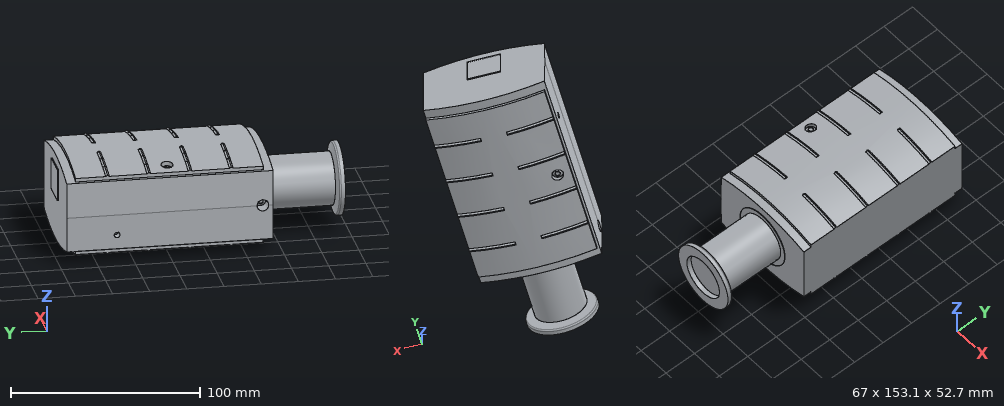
import cadquery as cq
import math


body_width = 67.0
body_length = 111.0
body_half_height = 24.0
crown_radius = 119.4
side_draft_deg = 1.0
half_width = body_width / 2
crown_center_z = body_half_height - crown_radius

plate_thickness = 1.85
plate_end_margin = 5.0
plate_left_x = -31.9
plate_radius = crown_radius + plate_thickness
plate_center_x = (plate_left_x + half_width) / 2

overall_height = 52.72
rib_rows = 4
rib_pitch = body_length / (rib_rows + 1)
rib_width = 2.0
rib_gap = 14.3
rib_shoulder_share = 0.62
rib_length = (half_width - plate_left_x - rib_gap) / 2
rib_inner_x = plate_center_x - rib_gap / 2
rib_radius = math.hypot(rib_inner_x, overall_height / 2 - crown_center_z)

overall_length = 153.1
badge_thickness = 0.6
pipe_radius = 14.5
pipe_length = overall_length - body_length - badge_thickness
flange_radius = 20.0
flange_rim_thickness = 3.0
flange_cone_deg = 15.0
flange_edge_fillet = 0.9
bore_radius = 13.1
bore_depth = 3.0

recess_radius = 18.0
recess_depth = 0.3

badge_width = 18.3
badge_height = 17.4
badge_center_z = 9.6

screw_diameter = 6.2
screw_head_height = 2.0
socket_corner_diameter = 3.0
socket_depth = 1.0
plate_screw_x = -24.7
plate_screw_y = body_length / 2
plate_pocket_depth = 2.8
side_screw_y = 5.5
side_pocket_depth = 8.0

side_hole_diameter = 3.0
side_hole_depth = 5.0
side_hole_y = body_length - 27.1
side_hole_z = -11.4


def crown_z(x, radius):
    """Height above mid plane, at x, of an arc concentric with the housing crown."""
    return crown_center_z + math.sqrt(radius ** 2 - x ** 2)


def extrude_along_y(sketch, start, length):
    """Extrude an outline drawn in X and Z from Y = start toward +Y."""
    return sketch.extrude(-length).translate((0, start, 0))


def mirror_to_bottom(shape):
    """The shape together with its reflection below mid height."""
    return shape.union(shape.mirror("XY"))


def make_body():
    """Half housing above mid height, with its reflection below."""
    left_top_x = -half_width + crown_z(half_width, crown_radius) * math.tan(math.radians(side_draft_deg))
    outline = (
        cq.Workplane("XZ")
        .moveTo(-half_width, 0)
        .lineTo(left_top_x, crown_z(left_top_x, crown_radius))
        .threePointArc((0, body_half_height), (half_width, crown_z(half_width, crown_radius)))
        .lineTo(half_width, 0)
        .close()
    )
    return mirror_to_bottom(extrude_along_y(outline, 0, body_length))


def make_plate():
    """Top cover plate, its underside following the housing crown."""
    outline = (
        cq.Workplane("XZ")
        .moveTo(plate_left_x, crown_z(plate_left_x, crown_radius))
        .lineTo(plate_left_x, crown_z(plate_left_x, plate_radius))
        .threePointArc((0, crown_z(0, plate_radius)), (half_width, crown_z(half_width, plate_radius)))
        .lineTo(half_width, crown_z(half_width, crown_radius))
        .threePointArc((0, body_half_height), (plate_left_x, crown_z(plate_left_x, crown_radius)))
        .close()
    )
    return extrude_along_y(outline, plate_end_margin, body_length - 2 * plate_end_margin)


def make_rib_ring():
    """Full ring about the crown centre with the pointed-arch rib section, centred on Y = 0."""
    half_rib = rib_width / 2
    shoulder_radius = plate_radius + rib_shoulder_share * (rib_radius - plate_radius)
    shoulder_offset = half_rib / 2
    return (
        cq.Workplane("XY")
        .moveTo(crown_radius, -half_rib)
        .lineTo(plate_radius, -half_rib)
        .threePointArc((shoulder_radius, -shoulder_offset), (rib_radius, 0))
        .threePointArc((shoulder_radius, shoulder_offset), (plate_radius, half_rib))
        .lineTo(crown_radius, half_rib)
        .close()
        .revolve(360, (0, 0, 0), (0, 1, 0))
        .translate((0, 0, crown_center_z))
    )


def make_ribs():
    """Two columns of ribs on the top plate, cut from the full ring."""
    ring = make_rib_ring()
    column_offset = (rib_gap + rib_length) / 2
    windows = (
        cq.Workplane("XY")
        .pushPoints([(plate_center_x - column_offset, 0), (plate_center_x + column_offset, 0)])
        .rect(rib_length, 2 * rib_width)
        .extrude(overall_height)
    )
    row = ring.intersect(windows)
    ribs = cq.Workplane("XY")
    for index in range(1, rib_rows + 1):
        ribs = ribs.add(row.translate((0, index * rib_pitch, 0)))
    return ribs.combine()


def make_pipe():
    """Pipe and conical-backed flange, with a shallow bore in the flange face."""
    face_y = -pipe_length
    rim_back_y = face_y + flange_rim_thickness
    cone_end_y = rim_back_y + (flange_radius - pipe_radius) * math.tan(math.radians(flange_cone_deg))
    pipe = (
        cq.Workplane("XY")
        .moveTo(0, face_y)
        .lineTo(flange_radius, face_y)
        .lineTo(flange_radius, rim_back_y)
        .lineTo(pipe_radius, cone_end_y)
        .lineTo(pipe_radius, recess_depth)
        .lineTo(0, recess_depth)
        .close()
        .revolve(360, (0, 0, 0), (0, 1, 0))
        .edges(cq.selectors.BoxSelector(
            (-2 * flange_radius, rim_back_y - flange_edge_fillet, -2 * flange_radius),
            (2 * flange_radius, rim_back_y + flange_edge_fillet, 2 * flange_radius),
        ))
        .edges("%CIRCLE")
        .fillet(flange_edge_fillet)
    )
    bore = extrude_along_y(cq.Workplane("XZ").circle(bore_radius), face_y, bore_depth)
    return pipe.cut(bore)


def cut_recess(part):
    """Sink a round recess into the front face of the housing."""
    return part.cut(extrude_along_y(cq.Workplane("XZ").circle(recess_radius), 0, recess_depth))


def make_badge():
    """Thin raised rectangle on the back face."""
    outline = cq.Workplane("XZ").center(0, badge_center_z).rect(badge_width, badge_height)
    return extrude_along_y(outline, body_length, badge_thickness)


def make_screw_head():
    """Domed head with a hexagonal socket, seated at Z = 0 and facing +Z."""
    radius = screw_diameter / 2
    sphere_radius = (radius ** 2 + screw_head_height ** 2) / (2 * screw_head_height)
    dome_center_z = screw_head_height - sphere_radius
    mid_angle = math.atan2(radius, -dome_center_z) / 2
    head = (
        cq.Workplane("XZ")
        .lineTo(radius, 0)
        .threePointArc(
            (sphere_radius * math.sin(mid_angle), dome_center_z + sphere_radius * math.cos(mid_angle)),
            (0, screw_head_height),
        )
        .close()
        .revolve(360, (0, 0, 0), (0, 1, 0))
    )
    socket = (
        cq.Workplane("XY")
        .workplane(offset=screw_head_height - socket_depth)
        .polygon(6, socket_corner_diameter)
        .extrude(screw_head_height)
    )
    return head.cut(socket)


def make_screw_pocket(depth):
    """Volume to remove for a sunk screw: a round pocket, floor at Z = 0, less the screw head."""
    return cq.Workplane("XY").circle(screw_diameter / 2).extrude(depth).cut(make_screw_head())


def cut_plate_screws(part):
    """Sink one screw in each cover plate."""
    floor_z = crown_z(plate_screw_x, plate_radius) - plate_pocket_depth
    pocket = make_screw_pocket(2 * plate_pocket_depth).translate((plate_screw_x, plate_screw_y, floor_z))
    return part.cut(pocket).cut(pocket.mirror("XY"))


def cut_side_screw(part):
    """Sink one screw in the -X side at mid height."""
    pocket = (
        make_screw_pocket(side_pocket_depth)
        .rotate((0, 0, 0), (0, 1, 0), -90)
        .translate((side_pocket_depth - half_width, side_screw_y, 0))
    )
    return part.cut(pocket)


def cut_side_hole(part):
    """Small blind hole in the -X side."""
    hole = (
        cq.Workplane("YZ")
        .center(side_hole_y, side_hole_z)
        .circle(side_hole_diameter / 2)
        .extrude(side_hole_depth)
        .translate((-half_width, 0, 0))
    )
    return part.cut(hole)


cover = make_plate().union(make_ribs())
housing = make_body().union(mirror_to_bottom(cover))
housing = cut_recess(housing)
housing = cut_plate_screws(housing)
housing = cut_side_screw(housing)
housing = cut_side_hole(housing)
result = housing.union(make_pipe()).union(make_badge())